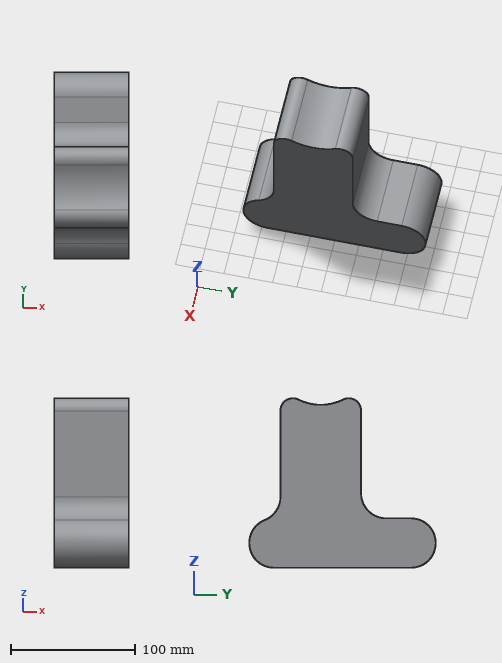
import cadquery as cq
import math

width = 60.0
length = 150.0
height = 136.4
foot_radius = 20.0
root_radius = foot_radius
heel_overhang = 25.0
toe_overhang = 60.0
tip_radius = 10.0
saddle_radius = 40.0

near_face = heel_overhang
far_face = length - toe_overhang
column_middle = (near_face + far_face) / 2
toe_center_y = length - foot_radius
foot_top = 2 * foot_radius
tip_center_z = height - tip_radius


def on_circle(center, radius, degrees):
    """Point on a circle, with the angle measured from +Y towards +Z."""
    angle = math.radians(degrees)
    return (center[0] + radius * math.cos(angle), center[1] + radius * math.sin(angle))


def direction(start, end):
    """Angle in degrees of the line from start to end."""
    return math.degrees(math.atan2(end[1] - start[1], end[0] - start[0]))


heel_center = (foot_radius, foot_radius)
heel_root_y = near_face - root_radius
heel_reach = foot_radius + root_radius
heel_root_rise = math.sqrt(heel_reach**2 - (heel_root_y - foot_radius) ** 2)
heel_root_center = (heel_root_y, foot_radius + heel_root_rise)
heel_angle = direction(heel_center, heel_root_center)
heel_tangent = on_circle(heel_center, foot_radius, heel_angle)
heel_middle = on_circle(heel_center, foot_radius, (heel_angle + 270) / 2)
heel_root_middle = on_circle(heel_root_center, root_radius, (heel_angle - 180) / 2)

toe_root_center = (far_face + root_radius, foot_top + root_radius)
toe_root_middle = on_circle(toe_root_center, root_radius, 225)

near_tip_center = (near_face + tip_radius, tip_center_z)
far_tip_center = (far_face - tip_radius, tip_center_z)
saddle_reach = saddle_radius + tip_radius
saddle_rise = math.sqrt(saddle_reach**2 - (column_middle - near_tip_center[0]) ** 2)
saddle_center = (column_middle, tip_center_z + saddle_rise)
tip_angle = direction(near_tip_center, saddle_center)
near_tip_tangent = on_circle(near_tip_center, tip_radius, tip_angle)
far_tip_tangent = on_circle(far_tip_center, tip_radius, 180 - tip_angle)
near_tip_middle = on_circle(near_tip_center, tip_radius, (180 + tip_angle) / 2)
far_tip_middle = on_circle(far_tip_center, tip_radius, (180 - tip_angle) / 2)
saddle_bottom = on_circle(saddle_center, saddle_radius, 270)

outline = (
    cq.Workplane("YZ")
    .moveTo(foot_radius, 0)
    .lineTo(toe_center_y, 0)
    .threePointArc((length, foot_radius), (toe_center_y, foot_top))
    .lineTo(toe_root_center[0], foot_top)
    .threePointArc(toe_root_middle, (far_face, toe_root_center[1]))
    .lineTo(far_face, tip_center_z)
    .threePointArc(far_tip_middle, far_tip_tangent)
    .threePointArc(saddle_bottom, near_tip_tangent)
    .threePointArc(near_tip_middle, (near_face, tip_center_z))
    .lineTo(near_face, heel_root_center[1])
    .threePointArc(heel_root_middle, heel_tangent)
    .threePointArc(heel_middle, (foot_radius, 0))
    .close()
)

result = outline.extrude(width)